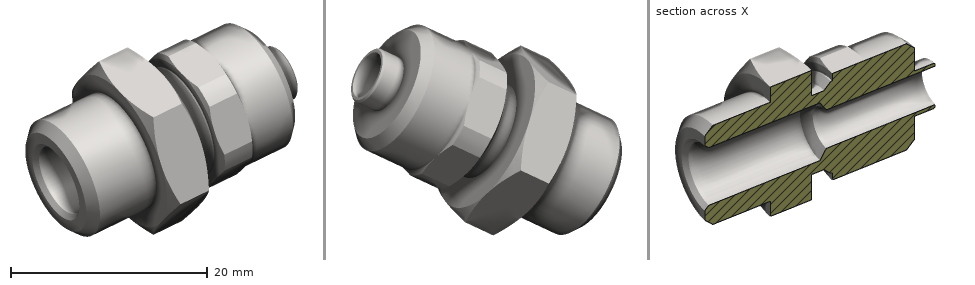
import cadquery as cq
import math

total_length = 28.0

stud_radius = 6.52
stud_chamfer = 1.0
stud_length = 7.95

hex_flats = 17.0
hex_end = 13.0

neck_radius = 5.2
neck_flange_radius = 6.05
neck_cone_start = 14.48

nut_start = 15.48
nut_flats = 14.0
nut_corner_radius = 7.5
nut_hex_end = 19.5
sleeve_end = 25.5
sleeve_radius = nut_flats / 2
sleeve_chamfer = 1.0

spigot_radius = 3.0
spigot_chamfer = 0.2

bore_radius = 3.75
bore_chamfer = 0.5
bore_depth = 14.0
through_radius = 2.5
drill_half_angle = math.radians(59)
hex_bevel_angle = math.radians(30)


def cylinder(start, end, radius):
    return cq.Workplane("XZ", origin=(0, start, 0)).circle(radius).extrude(start - end)


def revolve_profile(points):
    """Revolve a closed (radius, station) profile about the Y axis."""
    return cq.Workplane("XY").polyline(points).close().revolve(360, (0, 0), (0, 1))


def beveled_hexagon(start, end, flats, corner_radius):
    """Hexagon with both ends beveled down to the circle touching its flats."""
    corner_distance = flats / math.sqrt(3)
    flat_radius = flats / 2
    bevel = (corner_radius - flat_radius) * math.tan(hex_bevel_angle)
    prism = (
        cq.Workplane("XZ", origin=(0, start, 0))
        .polygon(6, 2 * corner_distance)
        .extrude(start - end)
    )
    envelope = revolve_profile([
        (0, start),
        (flat_radius, start),
        (corner_radius, start + bevel),
        (corner_radius, end - bevel),
        (flat_radius, end),
        (0, end),
    ])
    return prism.intersect(envelope)


def make_stud():
    stud = cylinder(0, stud_length, stud_radius)
    return stud.faces("<Y").chamfer(stud_chamfer)


def make_neck():
    cone_end = neck_cone_start + neck_flange_radius - neck_radius
    return revolve_profile([
        (0, hex_end),
        (neck_radius, hex_end),
        (neck_radius, neck_cone_start),
        (neck_flange_radius, cone_end),
        (neck_flange_radius, nut_start),
        (0, nut_start),
    ])


def make_nut():
    hexagon = beveled_hexagon(nut_start, nut_hex_end, nut_flats, nut_corner_radius)
    sleeve = cylinder(nut_hex_end, sleeve_end, sleeve_radius)
    return hexagon.union(sleeve.faces(">Y").chamfer(sleeve_chamfer))


def make_spigot():
    spigot = cylinder(sleeve_end, total_length, spigot_radius)
    return spigot.faces(">Y").chamfer(spigot_chamfer)


def make_bore():
    step_length = (bore_radius - through_radius) / math.tan(drill_half_angle)
    return revolve_profile([
        (0, 0),
        (bore_radius + bore_chamfer, 0),
        (bore_radius, bore_chamfer),
        (bore_radius, bore_depth),
        (through_radius, bore_depth + step_length),
        (through_radius, total_length),
        (0, total_length),
    ])


hex_corner_radius = hex_flats / math.sqrt(3)
result = (
    make_stud()
    .union(beveled_hexagon(stud_length, hex_end, hex_flats, hex_corner_radius))
    .union(make_neck())
    .union(make_nut())
    .union(make_spigot())
    .cut(make_bore())
)